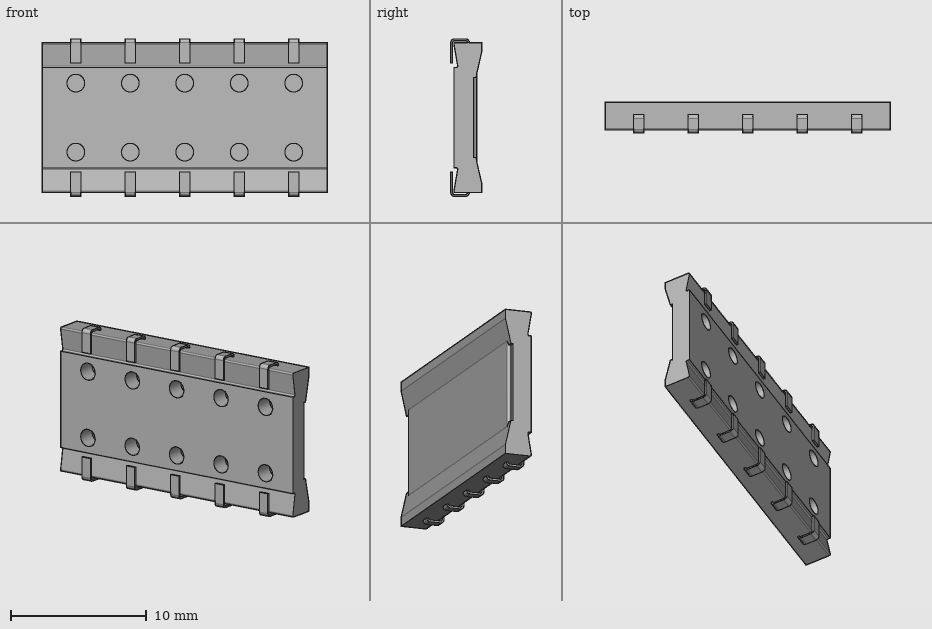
import cadquery as cq
import math

length = 20.98
body_half_height = 5.52
panel_y = 0.23
rim_front_y = 0.2
body_back = 2.29

groove_y = 0.52
front_fillet = 0.1
panel_half_height = 3.7

rim_z = 4.83
back_slope = 0.23
pad_y = 1.93
recess_y = 1.68
recess_half_height = 2.94

pad_inset = 0.42
pad_edge_radius = 0.19

lead_count = 5
lead_pitch = 4.0
lead_width = 0.75
lead_thickness = 0.15
lead_half_span = 5.8
lead_bend_radius = lead_half_span - body_half_height
lead_tip_z = 4.0
lead_back_bend_y = 1.1
lead_anchor_depth = 0.1

hole_diameter = 1.3
hole_z = 2.54
hole_floor_y = recess_y

lead_positions = [(i - (lead_count - 1) / 2) * lead_pitch for i in range(lead_count)]


def slope_y(z):
    """Y of the sloping back surface at height z."""
    return body_back - back_slope * (rim_z - z)


def extrude_along_x(outline, width):
    """Extrude a closed YZ outline by width, centred on X = 0."""
    return outline.extrude(width / 2, both=True)


def make_body():
    """Bar with undercut front, flared back and a recess along the back."""
    upper_half = [
        (panel_y, panel_half_height),
        (groove_y, panel_half_height),
        (rim_front_y, body_half_height),
        (body_back, body_half_height),
        (body_back, rim_z),
        (slope_y(recess_half_height), recess_half_height),
        (recess_y, recess_half_height),
    ]
    lower_half = [(y, -z) for y, z in reversed(upper_half)]
    outline = cq.Workplane("YZ").polyline(upper_half + lower_half).close()
    body = extrude_along_x(outline, length)
    for corner_y, corner_z in upper_half[1:3]:
        for side in (1, -1):
            corner = cq.selectors.NearestToPointSelector((0, corner_y, side * corner_z))
            body = body.edges(corner).fillet(front_fillet)
    return body


def make_pad():
    """Back pad that fills the recess and meets both slopes."""
    pad_half_height = rim_z - (body_back - pad_y) / back_slope
    pad = cq.Workplane("XY").box(
        length - 2 * pad_inset, pad_y - recess_y, 2 * pad_half_height
    )
    pad = pad.edges("|Z and >Y").fillet(pad_edge_radius)
    return pad.translate((0, (pad_y + recess_y) / 2, 0))


def make_lead():
    """Upper lead at X = 0: tip leg, front bend, bridge, back bend, anchor."""
    outer = lead_bend_radius
    inner = outer - lead_thickness
    diagonal = math.sqrt(0.5)
    front_y = lead_bend_radius
    back_y = lead_back_bend_y
    bend_z = body_half_height
    anchor_z = bend_z - lead_anchor_depth
    outline = (
        cq.Workplane("YZ")
        .moveTo(0, lead_tip_z)
        .lineTo(0, bend_z)
        .threePointArc(
            (front_y - outer * diagonal, bend_z + outer * diagonal),
            (front_y, bend_z + outer),
        )
        .lineTo(back_y, bend_z + outer)
        .threePointArc(
            (back_y + outer * diagonal, bend_z + outer * diagonal),
            (back_y + outer, bend_z),
        )
        .lineTo(back_y + outer, anchor_z)
        .lineTo(back_y + inner, anchor_z)
        .lineTo(back_y + inner, bend_z)
        .threePointArc(
            (back_y + inner * diagonal, bend_z + inner * diagonal),
            (back_y, bend_z + inner),
        )
        .lineTo(front_y, bend_z + inner)
        .threePointArc(
            (front_y - inner * diagonal, bend_z + inner * diagonal),
            (front_y - inner, bend_z),
        )
        .lineTo(lead_thickness, lead_tip_z)
        .close()
    )
    return extrude_along_x(outline, lead_width)


def make_holes():
    """Cutters for the two rows of blind holes, entering from the panel."""
    centres = [(x, z) for x in lead_positions for z in (hole_z, -hole_z)]
    return (
        cq.Workplane("XZ", origin=(0, panel_y, 0))
        .pushPoints(centres)
        .circle(hole_diameter / 2)
        .extrude(panel_y - hole_floor_y)
    )


result = make_body().union(make_pad()).cut(make_holes())

upper_lead = make_lead()
lower_lead = upper_lead.mirror("XY")
for lead_x in lead_positions:
    for lead in (upper_lead, lower_lead):
        result = result.union(lead.translate((lead_x, 0, 0)))